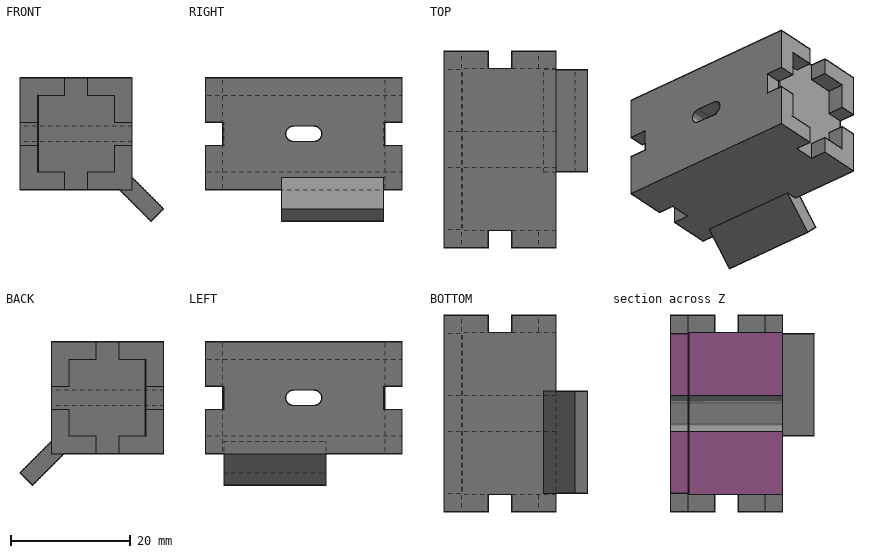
import cadquery as cq
import math

length = 33.0
width = 18.8
wall = 2.97
pocket_width = width - 2 * wall

recess_depth = 2.9
notch_width = 3.85
deep_notch_depth = 3.1

gap_width = 0.13

slot_length = 6.0
slot_height = 2.55

overall_width = 24.1
tab_thickness = 2.97
tab_length = 17.15
tab_end_gap = 3.1


def end_recess(side):
    """Cutter for one end of the block; side is -1 or +1 along Y."""
    def cutter(size_x, size_z, depth):
        return cq.Workplane("XY").box(size_x, depth, size_z).translate(
            (0, side * (length - depth) / 2, 0)
        )

    deep_notch = cutter(wall, notch_width, deep_notch_depth).translate(((wall - width) / 2, 0, 0))
    return (
        cutter(pocket_width, pocket_width, recess_depth)
        .union(cutter(width, notch_width, recess_depth))
        .union(cutter(notch_width, width, recess_depth))
        .union(deep_notch)
    )


def diagonal_tab():
    """Plate leaving the lower +X edge at 45 degrees, centred on the block's diagonal."""
    corner = width / 2
    tip = overall_width - corner
    tip_offset = tab_thickness / math.sqrt(2)
    y_end = length / 2 - tab_end_gap
    return (
        cq.Workplane("XZ", origin=(0, y_end, 0))
        .polyline([
            (corner - tip_offset, tip_offset - corner),
            (corner, tip_offset - corner),
            (tip, tip_offset - tip),
            (tip - tip_offset, -tip),
            (corner - tip_offset, -corner),
        ])
        .close()
        .extrude(tab_length)
    )


block = cq.Workplane("XY").box(width, length, width)
through_slot = (
    cq.Workplane("YZ").slot2D(slot_length, slot_height).extrude(width / 2, both=True)
)
wall_gap = cq.Workplane("XY").box(gap_width, length, pocket_width).translate(
    ((gap_width - pocket_width) / 2, 0, 0)
)

result = (
    block.cut(end_recess(-1))
    .cut(end_recess(1))
    .cut(through_slot)
    .cut(wall_gap)
    .union(diagonal_tab())
)